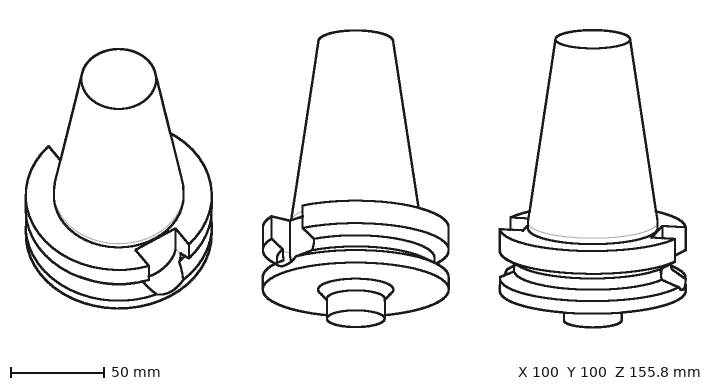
import cadquery as cq

total_height = 155.8
boss_cone_bottom = 11.2
flange_bottom = 16.4
lower_rim_top = 23.4
groove_bottom = 27.7
groove_top = 34.0
upper_rim_bottom = 38.5
flange_top = 51.1
taper_bottom = 54.4

boss_diameter = 31.2
boss_cone_diameter = 40.5
flange_diameter = 100.0
groove_diameter = 84.8
taper_large_diameter = 69.8
taper_small_diameter = 40.2

slot_width = 25.9
slot_bottom = 20.1
slot_floor_distance = 35.4


def turned_body():
    """Tapered shank, grooved flange and lower boss in one revolution about Z."""
    steps = [
        (boss_diameter, 0),
        (boss_diameter, boss_cone_bottom),
        (boss_cone_diameter, flange_bottom),
        (flange_diameter, flange_bottom),
        (flange_diameter, lower_rim_top),
        (groove_diameter, groove_bottom),
        (groove_diameter, groove_top),
        (flange_diameter, upper_rim_bottom),
        (flange_diameter, flange_top),
        (taper_large_diameter, flange_top),
        (taper_large_diameter, taper_bottom),
        (taper_small_diameter, total_height),
    ]
    half_profile = [(diameter / 2, z) for diameter, z in steps]
    outline = [(0, 0)] + half_profile + [(0, total_height)]
    return cq.Workplane("XZ").polyline(outline).close().revolve(360, (0, 0), (0, 1))


def drive_slot(side):
    """Cutter for the slot on the +X (side = 1) or -X (side = -1) flank."""
    half_width = slot_width / 2
    arc_centre_z = slot_bottom + half_width
    cut_length = flange_diameter / 2
    return (
        cq.Workplane("YZ", origin=(side * slot_floor_distance, 0, 0))
        .moveTo(-half_width, flange_top)
        .lineTo(-half_width, arc_centre_z)
        .threePointArc((0, slot_bottom), (half_width, arc_centre_z))
        .lineTo(half_width, flange_top)
        .close()
        .extrude(side * cut_length)
    )


result = turned_body()
for side in (-1, 1):
    result = result.cut(drive_slot(side))